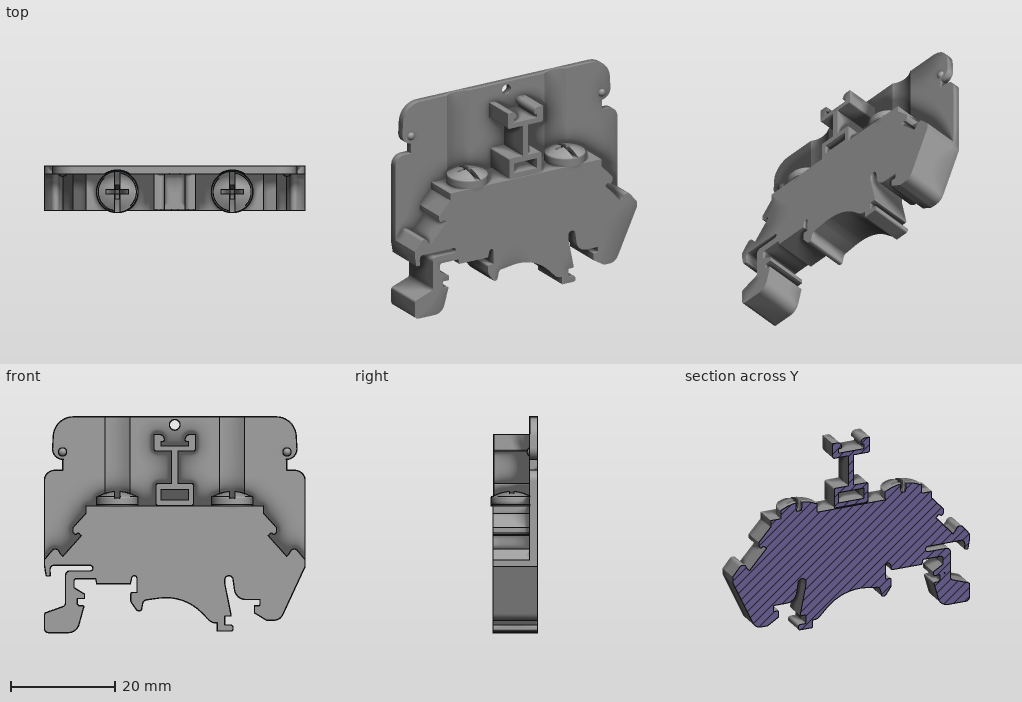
import cadquery as cq
import math


half_length = 25.0
height = 41.4
plate_thickness = 1.55
body_depth = 8.6

shoulder_half_width = 17.0
shoulder_height = 24.3
flank_height = 13.95

notch_bottom = 31.15
notch_top = 33.2
lobe_half_width = 23.55
lobe_radius = 2.05
crown_half_width = 23.1
crown_radius = 3.9
edge_shoulder_radius = 2.0
bump_x = 21.5
bump_height = 34.65
bump_radius = 0.8
bump_rise = 0.5
hole_diameter = 2.0
hole_height = 39.85

screw_x = 11.0
screw_axis_y = -5.0
screw_radius = 4.0
screw_rim_height = 1.85
screw_rim_fillet = 0.35
screw_dome_height = 2.8
slot_width = 1.06
slot_depth = 1.3
cross_arm_width = 0.85
cross_half_length = 2.4
cross_floor_half_length = 0.45
cross_depth = 2.4
washer_radius = 3.95
washer_thickness = 0.3
groove_radius = 4.2

carrier_front = 8.45
cup_half_width = 3.95
cup_top = 38.0
cup_bottom = 34.8
cup_floor = 35.8
cup_corner_fillet = 0.4
cup_inner_half_width = 2.62
lip_half_gap = 2.0
lip_bottom = 36.65
lip_fillet = 0.95
lip_tip_fillet = 0.3
stem_half_width = 0.58
box_half_width = 3.6
box_bottom = 24.4
box_top = 28.6
box_fillet = 0.35
window_half_width = cup_inner_half_width
window_bottom = 25.42
window_top = 27.46


def rounded_outline(corners):
    """Closed XZ wire through (x, z, radius) corners, each rounded by a tangent arc."""
    stretches = []
    for i, (x, z, radius) in enumerate(corners):
        corner = cq.Vector(x, z, 0)
        before = (cq.Vector(*corners[i - 1][:2], 0) - corner).normalized()
        after = (cq.Vector(*corners[(i + 1) % len(corners)][:2], 0) - corner).normalized()
        half_angle = before.getAngle(after) / 2
        setback = radius / math.tan(half_angle)
        bisector = (before + after).normalized()
        middle = corner + bisector * (radius / math.sin(half_angle) - radius)
        stretches.append((radius, corner + before * setback, middle, corner + after * setback))

    outline = cq.Workplane("XZ").moveTo(*stretches[0][3].toTuple()[:2])
    for radius, start, middle, end in stretches[1:] + stretches[:1]:
        outline = outline.lineTo(start.x, start.y)
        if radius > 0:
            outline = outline.threePointArc((middle.x, middle.y), (end.x, end.y))
    return outline.close()


def mirrored(corners):
    """Corners of the right half, in reverse order, from those of the left half."""
    return [(-x, z, radius) for x, z, radius in reversed(corners)]


def block(x_min, x_max, y_min, y_max, z_min, z_max):
    """Box between the given limits."""
    size = (x_max - x_min, y_max - y_min, z_max - z_min)
    return cq.Workplane("XY").box(*size, centered=False).translate((x_min, y_min, z_min))


def make_body():
    """Full-depth body: symmetric upper flanks above the feet that clip onto the mounting rail."""
    left_flank = [
        (-half_length, flank_height, 0),
        (-22.75, 16.66, 0.8),
        (-21.95, 15.2, 0.3),
        (-21.45, 14.65, 0),
        (-17.9, 18.6, 0),
        (-18.5, 19.2, 0.3),
        (-19.0, 18.75, 0.2),
        (-19.5, 19.25, 0.15),
        (-19.5, 20.15, 0),
        (-shoulder_half_width, 22.9, 0),
        (-shoulder_half_width, shoulder_height, 0),
    ]
    right_foot = [
        (half_length, 12.7, 0),
        (20.2, 2.37, 2.0),
        (17.6, 2.37, 0),
        (15.26, 3.8, 0),
        (15.26, 5.2, 0),
        (16.32, 5.2, 0.2),
        (16.32, 6.36, 0),
        (11.7, 6.36, 2.2),
        (11.05, 10.9, 0.7),
        (9.61, 10.9, 0.7),
        (9.61, 9.4, 0),
        (10.85, 3.2, 0.2),
        (9.61, 3.2, 0),
        (9.61, 1.5, 0.1),
        (11.18, 1.5, 0.5),
        (11.18, 0.3, 0.4),
        (8.1, 0.3, 0.2),
        (8.1, 1.88, 0),
    ]
    arch = [
        (7.1, 1.88, 1.7),
        (1.8, 7.3, 9.6),
        (-6.0, 6.2, 0.8),
        (-6.4, 4.2, 0.4),
        (-7.2, 4.2, 0.6),
        (-8.47, 6.0, 1.2),
        (-8.47, 7.72, 0.4),
        (-7.27, 7.72, 0),
        (-7.27, 10.9, 0.45),
        (-8.15, 10.9, 0.45),
        (-8.5, 9.37, 0),
        (-14.97, 9.37, 0),
        (-15.15, 10.34, 0),
    ]
    spring_foot = [
        (-19.3, 10.34, 0.45),
        (-19.3, 8.64, 0),
        (-17.27, 7.42, 0),
        (-17.27, 6.52, 0),
        (-18.66, 6.52, 0),
        (-18.66, 5.2, 0.45),
        (-17.35, 5.2, 0.25),
        (-18.77, 0, 2.2),
        (-half_length, 0, 0.85),
        (-half_length, 3.75, 0.5),
        (-20.95, 5.2, 0.7),
        (-20.95, 11.87, 0.9),
        (-15.7, 11.87, 0.5),
        (-15.7, 12.9, 0.5),
        (-23.8, 12.9, 0.7),
        (-23.9, 11.8, 0),
        (-23.75, 10.87, 0.3),
        (-24.65, 10.87, 0.25),
        (-half_length, 12.95, 0),
    ]
    corners = left_flank + mirrored(left_flank) + right_foot + arch + spring_foot
    return rounded_outline(corners).extrude(body_depth)


def make_plate():
    """Symmetric side plate with rounded upper lobes, edge notches and one hole."""
    left_edge = [
        (-half_length, flank_height, 0),
        (-half_length, notch_bottom, edge_shoulder_radius),
        (-bump_x, notch_bottom, 0),
        (-bump_x, notch_top, 0),
        (-lobe_half_width, notch_top, lobe_radius),
        (-crown_half_width, height, crown_radius),
    ]
    plate = rounded_outline(left_edge + mirrored(left_edge)).extrude(plate_thickness)
    hole = cq.Workplane("XZ").center(0, hole_height).circle(hole_diameter / 2)
    return plate.cut(hole.extrude(plate_thickness))


def make_bump(x):
    """Spherical cap on the front face of the side plate."""
    sphere_radius = (bump_radius**2 + bump_rise**2) / (2 * bump_rise)
    centre_y = sphere_radius - bump_rise - plate_thickness
    return cq.Workplane("XY").sphere(sphere_radius).translate((x, centre_y, bump_height))


def make_groove(x):
    """Screwdriver channel in the side plate, above the screw."""
    channel = cq.Workplane("XY", origin=(x, screw_axis_y, shoulder_height))
    return channel.circle(groove_radius).extrude(height - shoulder_height)


def make_screw(x):
    """Slotted and cross-recessed domed head on a thin washer."""
    rim_top_radius = screw_radius - screw_rim_fillet
    fillet_bottom = screw_rim_height - screw_rim_fillet
    dome_rise = screw_dome_height - screw_rim_height
    dome_radius = (rim_top_radius**2 + dome_rise**2) / (2 * dome_rise)
    mid_radius = rim_top_radius / 2
    mid_height = screw_dome_height - dome_radius + math.sqrt(dome_radius**2 - mid_radius**2)
    head = (
        cq.Workplane("XZ")
        .lineTo(washer_radius, 0)
        .lineTo(washer_radius, washer_thickness)
        .lineTo(screw_radius, washer_thickness)
        .lineTo(screw_radius, fillet_bottom)
        .radiusArc((rim_top_radius, screw_rim_height), -screw_rim_fillet)
        .threePointArc((mid_radius, mid_height), (0, screw_dome_height))
        .close()
        .revolve(360, (0, 0, 0), (0, 1, 0))
    )
    top = screw_dome_height
    half_slot = slot_width / 2
    slot = block(-half_slot, half_slot, -screw_radius, screw_radius, top - slot_depth, top)
    arm = (
        cq.Workplane("XZ", origin=(0, cross_arm_width / 2, 0))
        .moveTo(-cross_half_length, top)
        .lineTo(-cross_floor_half_length, top - cross_depth)
        .lineTo(cross_floor_half_length, top - cross_depth)
        .lineTo(cross_half_length, top)
        .close()
        .extrude(cross_arm_width)
    )
    head = head.cut(slot).cut(arm).cut(arm.rotate((0, 0, 0), (0, 0, 1), 90))
    return head.translate((x, screw_axis_y, shoulder_height))


def make_carrier():
    """Open cup on a thin stem above a hollow box, standing out from the side plate."""
    half_cup = [
        (-cup_half_width, cup_bottom, cup_corner_fillet),
        (-cup_half_width, cup_top, 0),
        (-lip_half_gap, cup_top, lip_fillet),
        (-lip_half_gap, lip_bottom, lip_tip_fillet),
        (-cup_inner_half_width, lip_bottom, 0),
        (-cup_inner_half_width, cup_floor, 0),
    ]
    cup = rounded_outline(half_cup + mirrored(half_cup)).extrude(carrier_front)
    stem = block(-stem_half_width, stem_half_width, -carrier_front, 0, box_top, cup_bottom)
    half_box = [
        (-box_half_width, box_bottom, box_fillet),
        (-box_half_width, box_top, box_fillet),
    ]
    box = rounded_outline(half_box + mirrored(half_box)).extrude(carrier_front)
    window = block(
        -window_half_width, window_half_width, -carrier_front, -plate_thickness, window_bottom, window_top
    )
    return cup.union(stem).union(box.cut(window))


part = make_plate()
for side in (-1, 1):
    part = part.cut(make_groove(side * screw_x))
    part = part.union(make_bump(side * bump_x))
part = part.union(make_body()).union(make_carrier())
for side in (-1, 1):
    part = part.union(make_screw(side * screw_x))

result = part